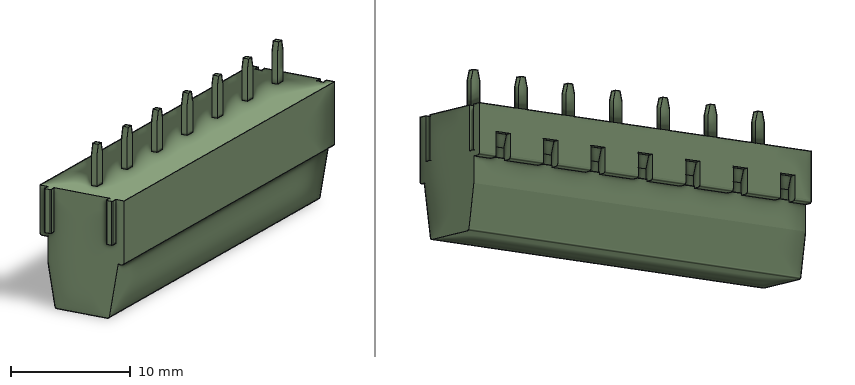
import cadquery as cq
import math

width = 8.1
total_length = 35.6
total_height = 14.3
pin_height = 3.65
poles = 7
key_depth = 0.6
body_length = total_length - key_depth
body_height = total_height - pin_height
pitch = body_length / poles
front_y = -body_length / 2
back_y = body_length / 2

half_width = width / 2
left_step_inset = 0.8
left_step_z = -4.4
left_taper_z = -6.73
right_step_inset = 0.57
right_step_z = -5.7
taper_angle = 10.0
edge_radius = 0.25

pin_thickness = 0.55
pin_width = 0.93
pin_tip_width = 0.5
pin_taper_height = 0.9

window_width = 1.5
window_top_z = -2.25
window_slope_height = 1.1
window_slope_angle = 18.5
window_depth = 0.9
window_sill_z = -4.25

key_width = 0.68
key_height = 3.88
key_spacing = 5.95
slot_depth = 0.57
key_edge_chamfer = 0.1
dovetail_flare = 0.055


def pole_positions():
    return [front_y + pitch * (pole + 0.5) for pole in range(poles)]


def make_housing():
    left_wall_x = -half_width + left_step_inset
    right_wall_x = half_width - right_step_inset
    taper = math.tan(math.radians(taper_angle))
    foot_left_x = left_wall_x + (body_height + left_taper_z) * taper
    foot_right_x = right_wall_x - (body_height + right_step_z) * taper
    outline = [
        (-half_width, 0),
        (half_width, 0),
        (half_width, right_step_z),
        (right_wall_x, right_step_z),
        (foot_right_x, -body_height),
        (foot_left_x, -body_height),
        (left_wall_x, left_taper_z),
        (left_wall_x, left_step_z),
        (-half_width, left_step_z),
    ]
    housing = cq.Workplane("XZ", origin=(0, back_y, 0)).polyline(outline).close().extrude(body_length)
    rounded_corners = [
        (half_width, right_step_z),
        (foot_right_x, -body_height),
        (foot_left_x, -body_height),
        (-half_width, left_step_z),
    ]
    for x, z in rounded_corners:
        corner_edge = cq.selectors.NearestToPointSelector((x, 0, z))
        housing = housing.edges("|Y").edges(corner_edge).fillet(edge_radius)
    return housing


def make_pin(y):
    outline = [
        (-pin_width / 2, 0),
        (pin_width / 2, 0),
        (pin_width / 2, pin_height - pin_taper_height),
        (pin_tip_width / 2, pin_height),
        (-pin_tip_width / 2, pin_height),
        (-pin_width / 2, pin_height - pin_taper_height),
    ]
    blade = cq.Workplane("YZ").polyline(outline).close().extrude(pin_thickness / 2, both=True)
    return blade.translate((0, y, 0))


def make_window(y):
    outer_x = -half_width
    floor_x = outer_x + window_depth
    wall_x = outer_x + left_step_inset
    slope_run = window_slope_height * math.tan(math.radians(window_slope_angle))
    outline = [
        (outer_x, window_top_z),
        (floor_x - slope_run, window_top_z),
        (floor_x, window_top_z - window_slope_height),
        (floor_x, window_sill_z),
        (wall_x, window_sill_z),
        (wall_x, left_step_z),
        (outer_x, left_step_z),
    ]
    window = cq.Workplane("XZ").polyline(outline).close().extrude(window_width / 2, both=True)
    return window.translate((0, y, 0))


def make_dovetail(x, y, depth):
    """Upright bar below the top face, widening from its root at y to its tip toward -Y."""
    half_tip = key_width / 2
    half_root = half_tip - dovetail_flare
    outline = [
        (-half_root, 0),
        (half_root, 0),
        (half_tip, -depth),
        (-half_tip, -depth),
    ]
    bar = cq.Workplane("XY").polyline(outline).close().extrude(-key_height)
    return bar.translate((x, y, 0))


result = make_housing()
for pole_y in pole_positions():
    result = result.union(make_pin(pole_y))
    result = result.cut(make_window(pole_y))
for key_x in (-key_spacing / 2, key_spacing / 2):
    key = make_dovetail(key_x, front_y, key_depth).edges("|Z and <Y").chamfer(key_edge_chamfer)
    slot = make_dovetail(key_x, back_y, slot_depth)
    result = result.union(key)
    result = result.cut(slot)